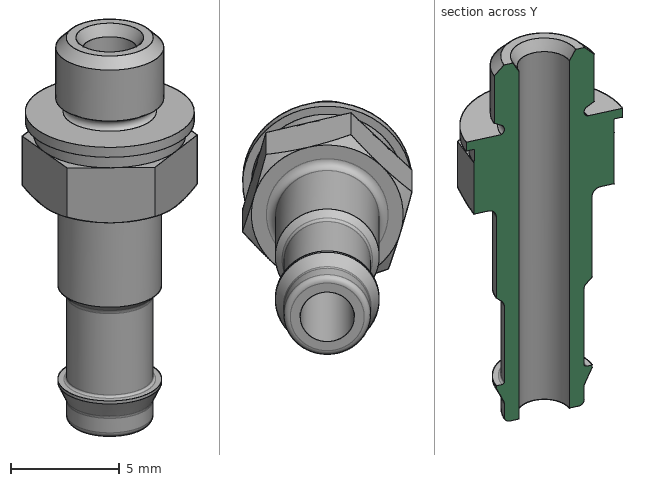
import cadquery as cq
import math

TOTAL_LENGTH = 19.5
SHOULDER_BASE = 6.88
HEX_BASE = 11.7
HEX_TOP = 14.5
FLANGE_BASE = 15.23
FLANGE_TOP = 15.74
THREAD_BASE = 16.42

BORE_RADIUS = 2.5 / 2
TUBE_RADIUS = 4.0 / 2
BODY_RADIUS = 4.8 / 2
UNDERCUT_EDGE_RADIUS = 4.3 / 2
THREAD_RADIUS = 5.0 / 2
ACROSS_FLATS = 7.0
COLLAR_RADIUS = ACROSS_FLATS / 2
FLANGE_RADIUS = 7.8 / 2

TIP_ROUND = 0.3
BARB_CONE_BASE = 1.1
BARB_RIM_BASE = 1.95
BARB_TOP = 2.1
BARB_BASE_ROUND = 0.3
BARB_TOP_ROUND = 0.12
SHOULDER_ROUND = 0.3
BODY_ROUND = 0.4
THREAD_CHAMFER = 0.49
BORE_CHAMFER = 0.31
BORE_CHAMFER_DEPTH = 0.55
HEX_CHAMFER_ANGLE = 30.0
UNDERCUT_ANGLE = 30.0


def revolve(profile):
    """Turn a closed (radius, height) profile around the Z axis."""
    return profile.close().revolve(360, (0, 0, 0), (0, 1, 0))


def round_at(solid, radius, level, size):
    """Round the circular edge of the given radius at the given level."""
    margin = 0.01
    reach = radius + margin
    corner = cq.selectors.BoxSelector(
        (-reach, -reach, level - margin), (reach, reach, level + margin), boundingbox=True
    )
    return solid.edges(corner).fillet(size)


def make_hose_end():
    """Barbed tube, sloped shoulder and body up to the hexagon."""
    shoulder_height = BODY_RADIUS - TUBE_RADIUS
    shoulder_foot = SHOULDER_BASE - shoulder_height
    hose_end = revolve(
        cq.Workplane("XZ")
        .moveTo(0, 0)
        .lineTo(TUBE_RADIUS, 0)
        .lineTo(TUBE_RADIUS, BARB_CONE_BASE)
        .lineTo(BODY_RADIUS, BARB_RIM_BASE)
        .lineTo(BODY_RADIUS, BARB_TOP)
        .lineTo(TUBE_RADIUS, BARB_TOP)
        .lineTo(TUBE_RADIUS, shoulder_foot)
        .lineTo(BODY_RADIUS, SHOULDER_BASE)
        .lineTo(BODY_RADIUS, HEX_BASE)
        .lineTo(0, HEX_BASE)
    )
    hose_end = round_at(hose_end, TUBE_RADIUS, 0, TIP_ROUND)
    hose_end = round_at(hose_end, TUBE_RADIUS, BARB_CONE_BASE, BARB_BASE_ROUND)
    hose_end = round_at(hose_end, TUBE_RADIUS, BARB_TOP, BARB_TOP_ROUND)
    return round_at(hose_end, TUBE_RADIUS, shoulder_foot, SHOULDER_ROUND)


def make_hexagon():
    """Hexagon with corners along Y, its lower corners cut by a cone."""
    corner_radius = COLLAR_RADIUS / math.cos(math.radians(30))
    height = HEX_TOP - HEX_BASE
    hexagon = (
        cq.Workplane("XY")
        .workplane(offset=HEX_BASE)
        .polygon(6, 2 * corner_radius)
        .extrude(height)
        .rotate((0, 0, 0), (0, 0, 1), 30)
    )
    cone_top_radius = COLLAR_RADIUS + height / math.tan(math.radians(HEX_CHAMFER_ANGLE))
    cone = revolve(
        cq.Workplane("XZ")
        .moveTo(0, HEX_BASE)
        .lineTo(COLLAR_RADIUS, HEX_BASE)
        .lineTo(cone_top_radius, HEX_TOP)
        .lineTo(0, HEX_TOP)
    )
    return hexagon.intersect(cone)


def make_threaded_end():
    """Collar, sealing flange, undercut and plain thread cylinder."""
    slope_drop = (THREAD_RADIUS - UNDERCUT_EDGE_RADIUS) * math.tan(math.radians(UNDERCUT_ANGLE))
    slope_foot = THREAD_BASE - slope_drop
    groove_middle = (FLANGE_TOP + slope_foot) / 2
    threaded_end = revolve(
        cq.Workplane("XZ")
        .moveTo(0, HEX_TOP)
        .lineTo(COLLAR_RADIUS, HEX_TOP)
        .lineTo(COLLAR_RADIUS, FLANGE_BASE)
        .lineTo(FLANGE_RADIUS, FLANGE_BASE)
        .lineTo(FLANGE_RADIUS, FLANGE_TOP)
        .lineTo(UNDERCUT_EDGE_RADIUS, FLANGE_TOP)
        .threePointArc((TUBE_RADIUS, groove_middle), (UNDERCUT_EDGE_RADIUS, slope_foot))
        .lineTo(THREAD_RADIUS, THREAD_BASE)
        .lineTo(THREAD_RADIUS, TOTAL_LENGTH)
        .lineTo(0, TOTAL_LENGTH)
    )
    return threaded_end.faces(">Z").edges().chamfer(THREAD_CHAMFER)


def make_bore():
    """Through bore, flared at the threaded end."""
    return revolve(
        cq.Workplane("XZ")
        .lineTo(BORE_RADIUS, 0)
        .lineTo(BORE_RADIUS, TOTAL_LENGTH - BORE_CHAMFER_DEPTH)
        .lineTo(BORE_RADIUS + BORE_CHAMFER, TOTAL_LENGTH)
        .lineTo(0, TOTAL_LENGTH)
    )


outside = make_hose_end().union(make_hexagon()).union(make_threaded_end())
outside = round_at(outside, BODY_RADIUS, HEX_BASE, BODY_ROUND)
result = outside.cut(make_bore())